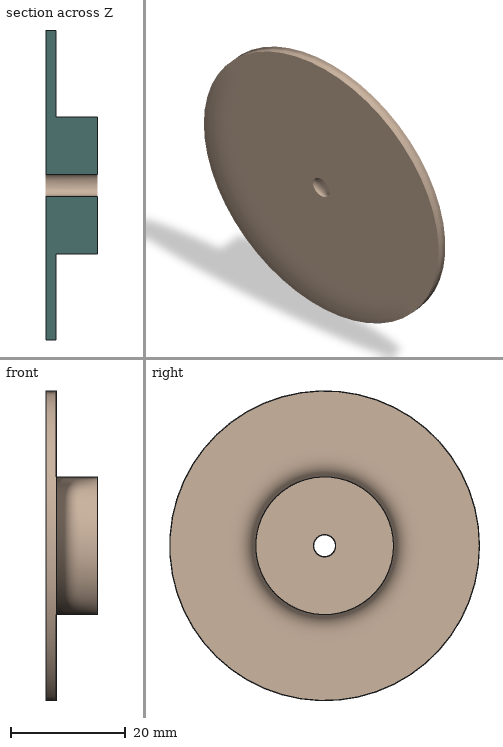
import cadquery as cq

TOTAL_LENGTH = 9.0
DISC_DIAMETER = 54.0
DISC_THICKNESS = 1.8
HUB_DIAMETER = 24.0
BORE_DIAMETER = 3.8

HUB_LENGTH = TOTAL_LENGTH - DISC_THICKNESS


def cylinder_along_x(diameter, start_x, length):
    """Cylinder centred on the X axis, growing from start_x toward +X."""
    base = cq.Workplane("YZ", origin=(start_x, 0, 0))
    return base.circle(diameter / 2).extrude(length)


disc = cylinder_along_x(DISC_DIAMETER, 0, DISC_THICKNESS)
hub = cylinder_along_x(HUB_DIAMETER, DISC_THICKNESS, HUB_LENGTH)

bore = cylinder_along_x(BORE_DIAMETER, 0, TOTAL_LENGTH)

result = disc.union(hub).cut(bore)